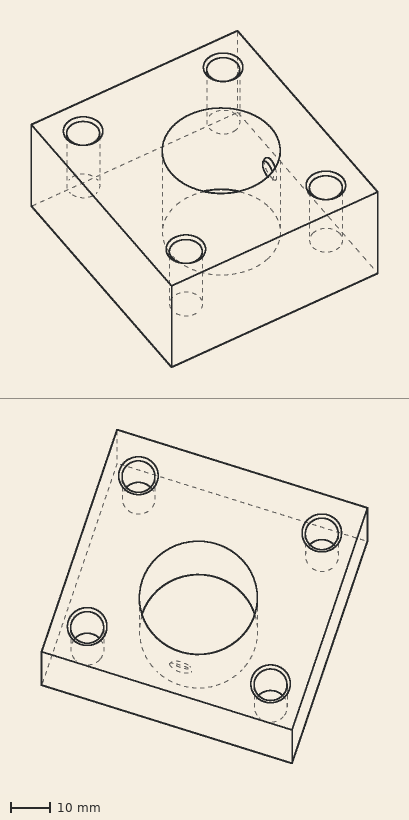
import cadquery as cq
import math

length = 67.0
width = 62.0
height = 30.0

bore_diameter = 30.0
bore_offset_y = 5.0

hole_spacing_x = 49.05
hole_spacing_y = 42.1
hole_diameter = 8.4
hole_mouth_diameter = 10.05
hole_depth = 20.1
drill_tip_angle = 118.0

pin_tip_diameter = 5.0
pin_wall_diameter = 6.35
pin_protrusion = 1.0
pin_embedment = 2.0
pin_height = height / 2


def drilled_hole():
    """Cutter with its mouth at the origin: 45 degree countersink, straight wall, conical tip."""
    radius = hole_diameter / 2
    mouth_radius = hole_mouth_diameter / 2
    countersink_depth = mouth_radius - radius
    tip_depth = radius / math.tan(math.radians(drill_tip_angle / 2))
    profile = cq.Workplane("XZ").polyline([
        (0, 0),
        (mouth_radius, 0),
        (radius, -countersink_depth),
        (radius, -hole_depth),
        (0, -hole_depth - tip_depth),
    ]).close()
    return profile.revolve(360, (0, 0, 0), (0, 1, 0))


def locating_pin():
    """Cone along Y that widens towards its root, set in the bore wall and ending in a flat face inside the bore."""
    wall_y = bore_offset_y + bore_diameter / 2
    tip_radius = pin_tip_diameter / 2
    widening = (pin_wall_diameter - pin_tip_diameter) / 2 / pin_protrusion
    pin_length = pin_protrusion + pin_embedment
    root_radius = tip_radius + widening * pin_length
    tip_centre = cq.Vector(0, wall_y - pin_protrusion, pin_height)
    return cq.Workplane(cq.Solid.makeCone(tip_radius, root_radius, pin_length, tip_centre, cq.Vector(0, 1, 0)))


block = cq.Workplane("XY").box(length, width, height, centered=(True, True, False))
bore = cq.Workplane("XY").center(0, bore_offset_y).circle(bore_diameter / 2).extrude(height)
result = block.cut(bore)

for side_x in (-1, 1):
    for side_y in (-1, 1):
        hole_position = (side_x * hole_spacing_x / 2, side_y * hole_spacing_y / 2, height)
        result = result.cut(drilled_hole().translate(hole_position))

result = result.union(locating_pin())